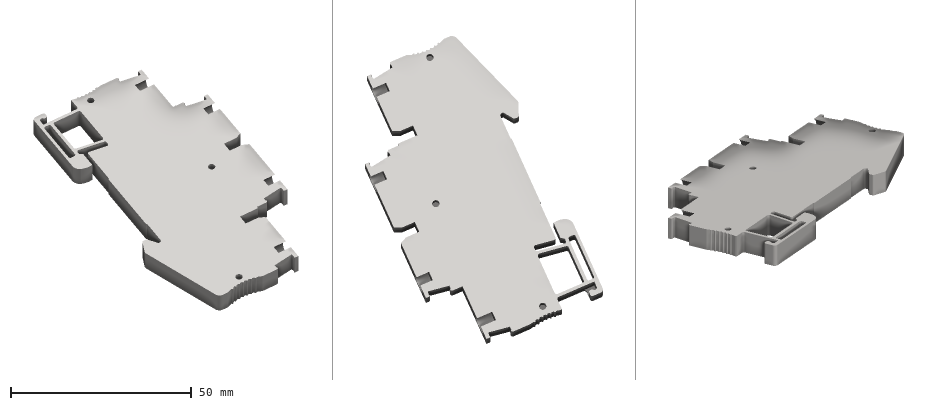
import cadquery as cq
import math


LENGTH = 83.6
HEIGHT = 45.8
THICKNESS = 6.2

DECK_Y = 35.2
SHOULDER_Y = 28.1
BODY_Y = 12.7
RAIL_Y = 6.1
SEAT_DROP = 0.25
SEAT_X = (30.5, 50.3)
FOOT_Y = 3.9
FOOT_TIP_Y = 4.9

TOWER_LEFT = 17.4
TOWER_RIGHT = 61.05
TOWER_RISE = HEIGHT - DECK_Y

LATCH_EDGE = [
    (0, 0),
    (0.6, 0),
    (0.7, -0.25),
    (1.63, -0.25),
    (2.55, 5.9),
    (1.5, 6.0),
    (1.3, 5.8),
    (1.05, 6.0),
    (1.05, DECK_Y - SHOULDER_Y),
]
LATCH_ROUNDS = [(LATCH_EDGE[0], 0.55), (LATCH_EDGE[4], 0.3)]

SLOT_WIDTH = 3.0
SLOT_DEPTH = 5.9
MOUTH_FLARE = 0.85
MOUTH_DEPTH = 1.95
TOWER_SLOT_X = 36.4
DECK_SLOT_X = 61.6

RIGHT_GRIP = ((LENGTH, 22.9), (LENGTH, 11.5), -1.2)
LEFT_GRIP = ((0, 22.25), (0.3, 13.2), 0.65)
RIDGE_MID_Y = 17.22
RIDGE_PITCH = 1.26
RIDGE_RADIUS = 0.3
LEFT_RIDGE_STEPS = range(-2, 4)
RIGHT_RIDGE_STEPS = range(-3, 4)

HOOK_ROOT_X = 57.9
HOOK_NOSE_X = 55.0
HOOK_ROOT_Y = 5.0
HOOK_NOSE_TOP = 2.95
HOOK_NOSE_LOW = 1.55
HOOK_TIP = (59.0, -0.086)
HOOK_TIP_RADIUS = 1.2
HEEL = (LENGTH, 8.64)
HEEL_RADIUS = 1.8
NOSE_RADIUS = 0.5

FOOT_LEFT = 0.3
POST_LEFT = 3.9
POST_RIGHT = 4.8
STRUT_SLOPE = 0.143
WINDOW_RIGHT = 17.4
GAP_LEFT = 18.2
GAP_RIGHT = 20.0
FREE_END_LOW_ARC = [(21.35, 0), (22.5, 0.45), (23.3, 1.4)]
FREE_END_HIGH_ARC = [(23.73, 2.9), (23.68, FOOT_TIP_Y)]
FREE_END_STEP = (18.3, 19.0)
CATCH_LIP = [(1.8, FOOT_Y), (2.15, 3.15), (1.65, 2.35)]
CATCH_HEEL_Y = 1.85
CATCH_HEEL_X = 2.0
FOOT_CORNER_RADIUS = 0.6
FOOT_TOE_RADIUS = 1.0
FOOT_SLOT = (POST_RIGHT, 0.85, 18.3, 2.95)
FOOT_SLOT_RADIUS = 0.5
CORNER_RADIUS = 0.6

WEB_THICKNESS = 1.2
WEB_FILLET = 0.9
CATCH_FLOOR_Y = 1.35

WIRE_INSET = 6.2
WIRE_RADIUS = 2.6
WIRE_FLAT = 0.5
WIRE_MOUTH = 2.55
WIRE_HOLES = [
    (WIRE_INSET, DECK_Y, 4.6),
    (TOWER_LEFT + WIRE_INSET, HEIGHT, 3.8),
    (TOWER_RIGHT - WIRE_INSET, HEIGHT, 3.8),
    (LENGTH - WIRE_INSET, DECK_Y, 4.0),
]
PIN_DIAMETER = 2.0
PIN_DEPTH = 2.5
PIN_POINTS = [(3.25, 17.22), (LENGTH / 2, 32.5), (LENGTH - 3.25, 17.22)]


def latch_points(foot_x, inward, shoulder_y):
    """Latch edge from its shoulder up to the deck; inward is +1 or -1 along X."""
    return [(foot_x + inward * inset, shoulder_y + rise) for inset, rise in LATCH_EDGE]


def slot_points(left, top):
    """Slot with flared mouth on both sides, from left to right."""
    right = left + SLOT_WIDTH
    return [
        (left - MOUTH_FLARE, top),
        (left, top - MOUTH_DEPTH),
        (left, top - SLOT_DEPTH),
        (right, top - SLOT_DEPTH),
        (right, top - MOUTH_DEPTH),
        (right + MOUTH_FLARE, top),
    ]


def slanted(x_at_body, y):
    """X of a slanted strut face at height y."""
    return x_at_body + STRUT_SLOPE * (y - BODY_Y)


def prism(points, depth=THICKNESS):
    return cq.Workplane("XY").polyline(points).close().extrude(depth)


def round_corners(solid, points, radius):
    """Fillet the Z-direction edges standing on the given XY points."""
    reach = 0.02
    for x, y in points:
        corner = cq.selectors.BoxSelector(
            (x - reach, y - reach, -THICKNESS), (x + reach, y + reach, 2 * THICKNESS)
        )
        solid = solid.edges("|Z").edges(corner).fillet(radius)
    return solid


def grip_middle(grip):
    (top_x, top_y), (low_x, low_y), bow = grip
    return ((top_x + low_x) / 2 + bow, (top_y + low_y) / 2)


def grip_x(grip, y):
    """X of a grip's shallow curve at height y, taken as a parabola."""
    (top_x, top_y), (low_x, low_y), bow = grip
    along = (y - low_y) / (top_y - low_y)
    return low_x + along * (top_x - low_x) + 4 * bow * along * (1 - along)


def make_housing():
    tower_shoulder = SHOULDER_Y + TOWER_RISE
    rim = latch_points(0, 1, SHOULDER_Y)
    rim += [(TOWER_LEFT, DECK_Y)]
    rim += latch_points(TOWER_LEFT, 1, tower_shoulder)
    rim += slot_points(TOWER_SLOT_X, HEIGHT)
    rim += reversed(latch_points(TOWER_RIGHT, -1, tower_shoulder))
    rim += [(TOWER_RIGHT, DECK_Y), (DECK_SLOT_X, DECK_Y)]
    rim += slot_points(DECK_SLOT_X, DECK_Y)[2:]
    rim += reversed(latch_points(LENGTH, -1, SHOULDER_Y))
    underside = [
        HEEL,
        HOOK_TIP,
        (HOOK_NOSE_X, HOOK_NOSE_LOW),
        (HOOK_NOSE_X, HOOK_NOSE_TOP),
        (HOOK_ROOT_X, HOOK_ROOT_Y),
        (HOOK_ROOT_X, RAIL_Y),
        (SEAT_X[1], RAIL_Y),
        (SEAT_X[1], RAIL_Y - SEAT_DROP),
        (SEAT_X[0], RAIL_Y - SEAT_DROP),
        (SEAT_X[0], RAIL_Y),
        (slanted(GAP_RIGHT, RAIL_Y), RAIL_Y),
        (GAP_RIGHT, BODY_Y),
        (FOOT_LEFT, BODY_Y),
    ]
    housing = (
        cq.Workplane("XY")
        .polyline(rim)
        .lineTo(*RIGHT_GRIP[0])
        .threePointArc(grip_middle(RIGHT_GRIP), RIGHT_GRIP[1])
        .polyline(underside, includeCurrent=True)
        .lineTo(*LEFT_GRIP[1])
        .threePointArc(grip_middle(LEFT_GRIP), LEFT_GRIP[0])
        .close()
        .extrude(THICKNESS)
    )
    for (inset, rise), radius in LATCH_ROUNDS:
        latch_corners = [
            (inset, SHOULDER_Y + rise),
            (TOWER_LEFT + inset, tower_shoulder + rise),
            (TOWER_RIGHT - inset, tower_shoulder + rise),
            (LENGTH - inset, SHOULDER_Y + rise),
        ]
        housing = round_corners(housing, latch_corners, radius)
    housing = round_corners(housing, [HEEL], HEEL_RADIUS)
    housing = round_corners(housing, [HOOK_TIP], HOOK_TIP_RADIUS)
    housing = round_corners(housing, underside[2:4], NOSE_RADIUS)
    seat_ends = [(slanted(GAP_RIGHT, RAIL_Y), RAIL_Y), (HOOK_ROOT_X, RAIL_Y)]
    return round_corners(housing, seat_ends, CORNER_RADIUS)


def make_ridges():
    """Half-round grip ridges, centred on the concave ends of the housing."""
    points = []
    for grip, steps in ((LEFT_GRIP, LEFT_RIDGE_STEPS), (RIGHT_GRIP, RIGHT_RIDGE_STEPS)):
        for step in steps:
            y = RIDGE_MID_Y + step * RIDGE_PITCH
            points.append((grip_x(grip, y), y))
    return cq.Workplane("XY").pushPoints(points).circle(RIDGE_RADIUS).extrude(THICKNESS)


def make_foot():
    """Foot with its free end and catch, still solid between the post and the strut."""
    arc_start, arc_middle, arc_end = FREE_END_LOW_ARC
    lip_top, lip_middle, lip_low = CATCH_LIP
    step_low_x, step_high_x = FREE_END_STEP
    foot = (
        cq.Workplane("XY")
        .moveTo(FOOT_LEFT, 0)
        .lineTo(*arc_start)
        .threePointArc(arc_middle, arc_end)
        .threePointArc(*FREE_END_HIGH_ARC)
        .lineTo(step_high_x, FOOT_TIP_Y)
        .lineTo(step_low_x, FOOT_Y)
        .lineTo(slanted(GAP_LEFT, FOOT_Y), FOOT_Y)
        .lineTo(GAP_LEFT, BODY_Y)
        .lineTo(POST_LEFT, BODY_Y)
        .lineTo(POST_LEFT, CATCH_FLOOR_Y)
        .lineTo(CATCH_HEEL_X, CATCH_FLOOR_Y)
        .lineTo(lip_low[0], CATCH_HEEL_Y)
        .lineTo(*lip_low)
        .threePointArc(lip_middle, lip_top)
        .lineTo(FOOT_LEFT, FOOT_Y)
        .close()
        .extrude(THICKNESS)
    )
    foot = round_corners(foot, [(FOOT_LEFT, 0)], FOOT_TOE_RADIUS)
    return round_corners(foot, [(FOOT_LEFT, FOOT_Y)], FOOT_CORNER_RADIUS)


def make_window():
    """Opening between the post and the slanted strut."""
    right_low = (slanted(WINDOW_RIGHT, FOOT_Y), FOOT_Y)
    right_top = (WINDOW_RIGHT, BODY_Y)
    window = prism([(POST_RIGHT, FOOT_Y), right_low, right_top, (POST_RIGHT, BODY_Y)])
    return window.edges("|Z").fillet(CORNER_RADIUS)


def make_foot_slot():
    left, low, right, top = FOOT_SLOT
    slot = prism([(left, low), (right, low), (right, top), (left, top)])
    return slot.edges("|Z").fillet(FOOT_SLOT_RADIUS)


def make_catch_web():
    """Thin web closing the -Z side of the catch, blended up the post."""
    return (
        cq.Workplane("XY")
        .moveTo(FOOT_LEFT + FOOT_CORNER_RADIUS, FOOT_Y)
        .lineTo(POST_LEFT - WEB_FILLET, FOOT_Y)
        .radiusArc((POST_LEFT, FOOT_Y + WEB_FILLET), -WEB_FILLET)
        .lineTo(POST_RIGHT, FOOT_Y)
        .lineTo(POST_RIGHT, FOOT_SLOT[3])
        .lineTo(POST_LEFT, CATCH_FLOOR_Y)
        .lineTo(FOOT_LEFT + FOOT_CORNER_RADIUS, CATCH_FLOOR_Y)
        .close()
        .extrude(WEB_THICKNESS)
    )


def make_wire_hole(x, deck_y, depth):
    """Obround hole running down from a deck and breaking out of the +Z face."""
    half_chord = (WIRE_MOUTH - WIRE_FLAT) / 2
    axis_z = THICKNESS - math.sqrt(WIRE_RADIUS**2 - half_chord**2)
    return (
        cq.Workplane("XZ", origin=(x, deck_y, axis_z))
        .slot2D(2 * WIRE_RADIUS + WIRE_FLAT, 2 * WIRE_RADIUS)
        .extrude(depth)
    )


def make_pin_holes():
    return (
        cq.Workplane("XY", origin=(0, 0, THICKNESS - PIN_DEPTH))
        .pushPoints(PIN_POINTS)
        .circle(PIN_DIAMETER / 2)
        .extrude(PIN_DEPTH)
    )


block = make_housing().union(make_ridges()).union(make_foot())
inner_corners = [(POST_LEFT, BODY_Y), (GAP_LEFT, BODY_Y), (GAP_RIGHT, BODY_Y)]
inner_corners += [(slanted(GAP_LEFT, FOOT_Y), FOOT_Y), (FREE_END_STEP[0], FOOT_Y)]
block = round_corners(block, inner_corners, CORNER_RADIUS)
block = block.cut(make_window()).cut(make_foot_slot()).union(make_catch_web())
for hole_x, hole_top, hole_depth in WIRE_HOLES:
    block = block.cut(make_wire_hole(hole_x, hole_top, hole_depth))
result = block.cut(make_pin_holes())